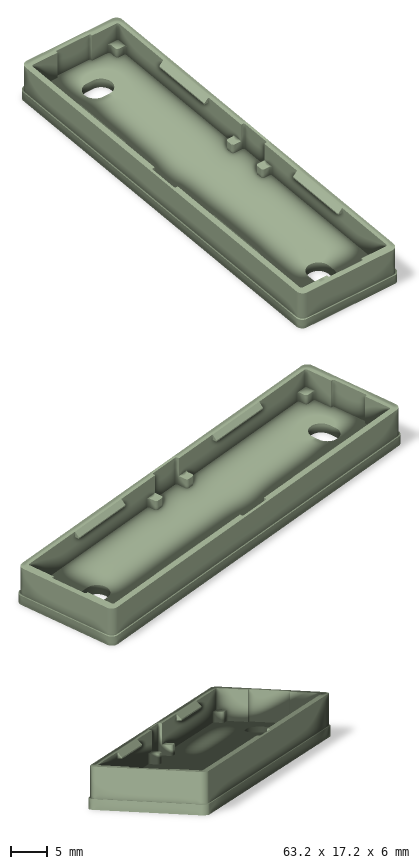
import cadquery as cq

LENGTH = 63.2
WIDTH = 17.2
HEIGHT = 6.0
FLANGE_HEIGHT = 1.5
FLANGE_STEP = 0.2
OUTER_CORNER_RADIUS = 1.0

INNER_RADIUS = 0.25

CAVITY_LENGTH = 60.35
CAVITY_WIDTH = 15.0
FLOOR = 1.5
CAVITY_DEPTH = HEIGHT - FLOOR

END_RELIEF_LENGTH = 61.2
END_RELIEF_WIDTH = 6.0
SIDE_RELIEF_LENGTH = 5.2
SIDE_RELIEF_WIDTH = 16.0

POST_HEIGHT = 1.5
POST_INNER_Y = 6.0
POST_EDGE_RADIUS = 0.4
POST_ROOT_RADIUS = 0.3
MIDDLE_POST_LENGTH = 1.5
CORNER_POST_LENGTH = 1.65

RIDGE_LENGTH = 10.1
RIDGE_CENTER_X = 15.0
RIDGE_PROJECTION = 0.7
RIDGE_SLOPE_HEIGHT = RIDGE_PROJECTION
RIDGE_NOSE_HEIGHT = 0.2

SLOT_CENTER_X = 24.95
SLOT_LENGTH = 4.7
SLOT_WIDTH = 3.6

ROOT_TOLERANCE = 0.03

SIDES = (-1, 1)


def block(length, width, height, bottom, radius):
    """Centred block with rounded vertical edges."""
    box = cq.Workplane("XY").workplane(offset=bottom).rect(length, width).extrude(height)
    return box.edges("|Z").fillet(radius)


def tray_body():
    """Flange and upper body, before hollowing."""
    flange = block(LENGTH, WIDTH, FLANGE_HEIGHT, 0, OUTER_CORNER_RADIUS)
    upper = block(
        LENGTH - 2 * FLANGE_STEP, WIDTH - 2 * FLANGE_STEP, HEIGHT, 0, OUTER_CORNER_RADIUS
    )
    return flange.union(upper)


def cavity():
    """Main pocket together with the wall reliefs."""
    pocket = block(CAVITY_LENGTH, CAVITY_WIDTH, CAVITY_DEPTH, FLOOR, INNER_RADIUS)
    end_relief = block(END_RELIEF_LENGTH, END_RELIEF_WIDTH, CAVITY_DEPTH, FLOOR, INNER_RADIUS)
    side_relief = block(
        SIDE_RELIEF_LENGTH, SIDE_RELIEF_WIDTH, CAVITY_DEPTH, FLOOR, INNER_RADIUS
    )
    return pocket.union(end_relief).union(side_relief)


def post(inner_x, outer_x, side_x, side_y, rounded_edges):
    """Post between two X distances, reaching inward from a long wall."""
    length = outer_x - inner_x
    depth = CAVITY_WIDTH / 2 - POST_INNER_Y
    center_x = side_x * (inner_x + outer_x) / 2
    center_y = side_y * (POST_INNER_Y + depth / 2)
    solid = cq.Workplane("XY").workplane(offset=FLOOR).center(center_x, center_y)
    solid = solid.rect(length, depth).extrude(POST_HEIGHT)
    return solid.edges(rounded_edges).fillet(POST_EDGE_RADIUS)


def ridge(side_x, side_y):
    """Snap ridge sloping inward from the rim, with a blunt nose and flat underside."""
    wall_y = side_y * CAVITY_WIDTH / 2
    tip_y = wall_y - side_y * RIDGE_PROJECTION
    nose_top = HEIGHT - RIDGE_SLOPE_HEIGHT
    underside = nose_top - RIDGE_NOSE_HEIGHT
    profile = cq.Workplane("YZ").workplane(offset=side_x * RIDGE_CENTER_X - RIDGE_LENGTH / 2)
    profile = profile.polyline(
        [(wall_y, HEIGHT), (tip_y, nose_top), (tip_y, underside), (wall_y, underside)]
    )
    return profile.close().extrude(RIDGE_LENGTH)


def mounting_slot(center_x, angle):
    """Cutter for a slot through the floor."""
    return cq.Workplane("XY").center(center_x, 0).slot2D(SLOT_LENGTH, SLOT_WIDTH, angle).extrude(FLOOR)


def fillet_post_root(body, x, y):
    """Round the vertical edge where a post meets a wall at (x, y)."""
    low = (x - ROOT_TOLERANCE, y - ROOT_TOLERANCE, FLOOR)
    high = (x + ROOT_TOLERANCE, y + ROOT_TOLERANCE, FLOOR + POST_HEIGHT)
    root = cq.selectors.BoxSelector(low, high)
    return body.edges("|Z").edges(root).fillet(POST_ROOT_RADIUS)


result = tray_body().cut(cavity())

wall_x = CAVITY_LENGTH / 2
wall_y = CAVITY_WIDTH / 2
middle_inner_x = SIDE_RELIEF_LENGTH / 2
middle_outer_x = middle_inner_x + MIDDLE_POST_LENGTH
corner_inner_x = wall_x - CORNER_POST_LENGTH

for side_x in SIDES:
    for side_y in SIDES:
        facing_y = "|Z and <Y" if side_y > 0 else "|Z and >Y"
        facing_corner = f"{facing_y} and <X" if side_x > 0 else f"{facing_y} and >X"
        result = result.union(post(middle_inner_x, middle_outer_x, side_x, side_y, facing_y))
        result = result.union(post(corner_inner_x, wall_x, side_x, side_y, facing_corner))
        result = fillet_post_root(result, side_x * middle_outer_x, side_y * wall_y)
        result = fillet_post_root(result, side_x * corner_inner_x, side_y * wall_y)
        result = fillet_post_root(result, side_x * wall_x, side_y * POST_INNER_Y)
        result = result.union(ridge(side_x, side_y))

result = result.cut(mounting_slot(-SLOT_CENTER_X, 90))
result = result.cut(mounting_slot(SLOT_CENTER_X, 0))